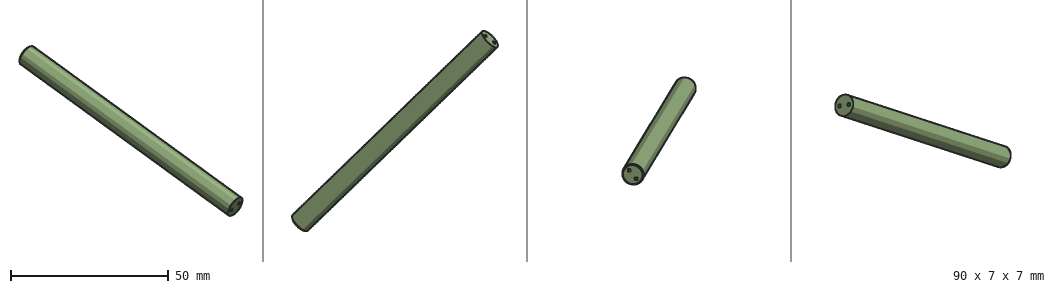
import cadquery as cq
import math

length = 90.0
diameter = 7.0
end_chamfer = 0.35

channel_diameter = 1.0
channel_circle_diameter = 3.55
channel_count = 2
first_channel_angle = 50.0
helix_angle = 30.0

full_turn = 360.0
helix_pitch = math.pi * diameter / math.tan(math.radians(helix_angle))
total_twist = full_turn * length / helix_pitch


def make_rod():
    """Solid cylinder from X = 0 to X = length with its -X edge chamfered."""
    rod = cq.Workplane("YZ").circle(diameter / 2).extrude(length)
    return rod.faces("<X").edges().chamfer(end_chamfer)


def make_channels():
    """Circles evenly spaced around the axis, extruded with a right-hand twist."""
    return (
        cq.Workplane("YZ")
        .polarArray(channel_circle_diameter / 2, first_channel_angle, full_turn, channel_count)
        .circle(channel_diameter / 2)
        .twistExtrude(length, total_twist)
    )


result = make_rod().cut(make_channels())